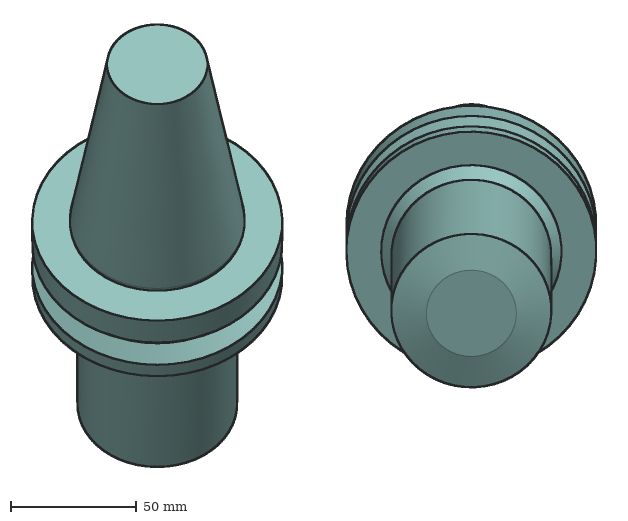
import cadquery as cq
import math


GAUGE_DIAMETER = 69.85
TAPER_LENGTH = 101.8
TAPER_RATIO = 7 / 24

FLANGE_DIAMETER = 100.0
FLANGE_TOP_DEPTH = 1.5
FLANGE_BOTTOM_DEPTH = 38.0

GROOVE_FLOOR_DIAMETER = 85.0
GROOVE_CENTER_DEPTH = 23.2
GROOVE_FLOOR_WIDTH = 6.0
GROOVE_FLANK_ANGLE = 30.0

NOSE_DIAMETER = 64.0
NOSE_END_DEPTH = 125.0
SHOULDER_LENGTH = 7.0
SHOULDER_ANGLE = 30.0
END_FACE_DIAMETER = 36.0
END_BEVEL_ANGLE = 15.0


def tangent(angle):
    return math.tan(math.radians(angle))


def make_taper_shank():
    """Tapered shank, with a short cylinder joining it to the flange."""
    gauge_radius = GAUGE_DIAMETER / 2
    small_radius = (GAUGE_DIAMETER - TAPER_LENGTH * TAPER_RATIO) / 2
    profile = (
        cq.Workplane("XZ")
        .moveTo(0, -FLANGE_TOP_DEPTH)
        .lineTo(gauge_radius, -FLANGE_TOP_DEPTH)
        .lineTo(gauge_radius, 0)
        .lineTo(small_radius, TAPER_LENGTH)
        .lineTo(0, TAPER_LENGTH)
        .close()
    )
    return profile.revolve(360, (0, 0), (0, 1))


def make_flange():
    """Flange disk with a flat-bottomed V groove around its rim."""
    flange_radius = FLANGE_DIAMETER / 2
    floor_radius = GROOVE_FLOOR_DIAMETER / 2
    half_floor = GROOVE_FLOOR_WIDTH / 2
    half_mouth = half_floor + (flange_radius - floor_radius) * tangent(GROOVE_FLANK_ANGLE)
    profile = (
        cq.Workplane("XZ")
        .moveTo(0, -FLANGE_BOTTOM_DEPTH)
        .lineTo(flange_radius, -FLANGE_BOTTOM_DEPTH)
        .lineTo(flange_radius, -GROOVE_CENTER_DEPTH - half_mouth)
        .lineTo(floor_radius, -GROOVE_CENTER_DEPTH - half_floor)
        .lineTo(floor_radius, -GROOVE_CENTER_DEPTH + half_floor)
        .lineTo(flange_radius, -GROOVE_CENTER_DEPTH + half_mouth)
        .lineTo(flange_radius, -FLANGE_TOP_DEPTH)
        .lineTo(0, -FLANGE_TOP_DEPTH)
        .close()
    )
    return profile.revolve(360, (0, 0), (0, 1))


def make_nose():
    """Cylindrical nose with its conical shoulder and beveled end."""
    nose_radius = NOSE_DIAMETER / 2
    end_face_radius = END_FACE_DIAMETER / 2
    bevel_height = (nose_radius - end_face_radius) * tangent(END_BEVEL_ANGLE)
    shoulder_radius = nose_radius + SHOULDER_LENGTH * tangent(SHOULDER_ANGLE)
    profile = (
        cq.Workplane("XZ")
        .moveTo(0, -NOSE_END_DEPTH)
        .lineTo(end_face_radius, -NOSE_END_DEPTH)
        .lineTo(nose_radius, -NOSE_END_DEPTH + bevel_height)
        .lineTo(nose_radius, -FLANGE_BOTTOM_DEPTH - SHOULDER_LENGTH)
        .lineTo(shoulder_radius, -FLANGE_BOTTOM_DEPTH)
        .lineTo(0, -FLANGE_BOTTOM_DEPTH)
        .close()
    )
    return profile.revolve(360, (0, 0), (0, 1))


result = make_taper_shank().union(make_flange()).union(make_nose())